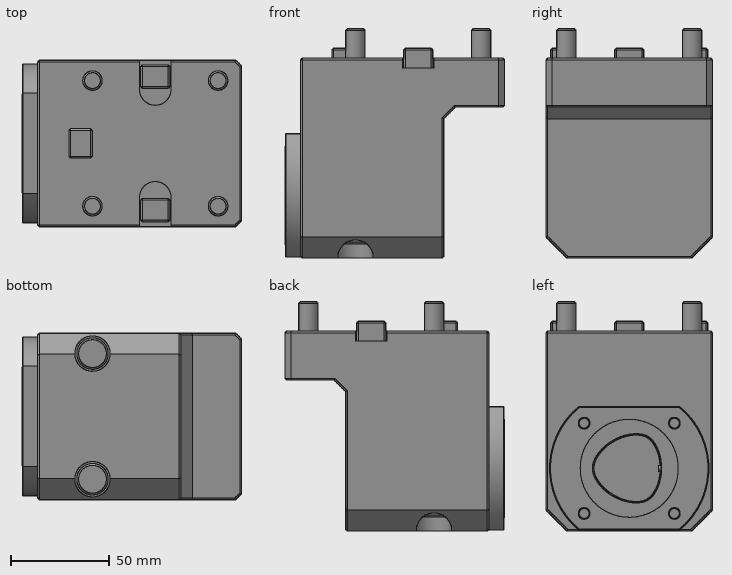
import cadquery as cq
import math


overall_length = 112.0
overall_height = 117
width = 85.0
front_x = -60.0
boss_projection = 8.0
end_x = overall_length + front_x - boss_projection
leg_back_x = 13.0
body_height = 102.0
overhang_thickness = 25.0
step_bevel = 6.0
bottom_bevel = 10.8
end_bevel = 3.0
edge_break = 0.9

bolt_pitch = 64.0
bolt_diameter = 10.0
bolt_projection = overall_height - body_height
bolt_chamfer = 0.9
counterbore_diameter = 18.0
counterbore_top = 17.3
bolt_head_diameter = 16.0
bolt_head_bottom = 7.4

key_length = 15.0
key_width = 12.0
key_projection = 5.0
key_chamfer = 0.9
front_key_x = -38.0
slot_width = 16.0
slot_reach = 23.0
slot_depth = 5.0
key_edge_gap = 2.5

spindle_z = 32.0
flange_diameter = 81.2
flange_height = 63.0
flange_chamfer = 0.5
centring_diameter = 50.0
centring_projection = 0.2
screw_circle_diameter = 65.0
screw_count = 4
first_screw_angle = 45
screw_recess_diameter = 6.0
screw_floor_diameter = 5.0
screw_recess_depth = 0.2

socket_mean_radius = 17.7
socket_eccentricity = 1.2
socket_depth = 30.0
socket_taper = 1 / 40
socket_curve_segments = 90
drive_pin_diameter = 3.0
drive_pin_projection = 1.6
drive_pin_anchor = 3.5

half_width = width / 2
bolt_offset = bolt_pitch / 2
flange_face_x = front_x - boss_projection + centring_projection
socket_face_x = front_x - boss_projection


def make_body():
    """Stepped housing with bevelled lower corners, bevelled rear corners and broken edges."""
    overhang_z = body_height - overhang_thickness
    body = (
        cq.Workplane("XZ")
        .moveTo(front_x, 0)
        .lineTo(leg_back_x, 0)
        .lineTo(leg_back_x, overhang_z - step_bevel)
        .lineTo(leg_back_x + step_bevel, overhang_z)
        .lineTo(end_x, overhang_z)
        .lineTo(end_x, body_height)
        .lineTo(front_x, body_height)
        .close()
        .extrude(half_width, both=True)
    )
    body = body.faces("<Z").edges("|X").chamfer(bottom_bevel)
    body = body.faces(">X").edges("|Z").chamfer(end_bevel)
    broken_edges = [edge for edge in body.edges().vals() if not stays_sharp(edge)]
    return body.newObject(broken_edges).chamfer(edge_break)


def stays_sharp(edge):
    """True for the long edges of the lower bevels, the uprights of the rear bevels and the step bevel."""
    middle = edge.Center()
    box = edge.BoundingBox()
    step_end_x = leg_back_x + step_bevel
    along_lower_bevel = box.xlen > step_bevel and middle.z < spindle_z
    along_rear_bevel = box.zlen > step_bevel and middle.x > step_end_x
    near_step = leg_back_x - edge_break < middle.x < step_end_x + edge_break and middle.z > spindle_z
    across_step = box.ylen > half_width and near_step
    return along_lower_bevel or along_rear_bevel or across_step


def make_flange():
    """Round flange with flat top and bottom, and a thin raised centring face."""
    plane = cq.Workplane("YZ", origin=(front_x, 0, spindle_z))
    thickness = front_x - flange_face_x
    disc = plane.circle(flange_diameter / 2).extrude(-thickness)
    flats = plane.rect(flange_diameter, flange_height).extrude(-thickness)
    flange = disc.intersect(flats).faces("<X").edges().chamfer(flange_chamfer)
    return flange.union(plane.circle(centring_diameter / 2).extrude(-boss_projection))


def make_screw_recesses():
    """Four shallow conical recesses on a circle in the flange face."""
    recess = cq.Workplane("YZ", origin=(flange_face_x, 0, spindle_z)).polarArray(
        screw_circle_diameter / 2, first_screw_angle, 360, screw_count
    )
    wall_run = (screw_recess_diameter - screw_floor_diameter) / 2
    draft = math.degrees(math.atan2(wall_run, screw_recess_depth))
    return recess.circle(screw_recess_diameter / 2).extrude(screw_recess_depth, taper=draft)


def make_socket():
    """Three-lobed constant-width socket, narrowing inward, with a lobe toward +Y."""

    def section(x, mean_radius):
        def point(t):
            a = 2 * math.pi * t
            radius = mean_radius + socket_eccentricity * math.cos(3 * a)
            swing = 3 * socket_eccentricity * math.sin(3 * a)
            y = radius * math.cos(a) + swing * math.sin(a)
            z = radius * math.sin(a) - swing * math.cos(a)
            return y, z

        plane = cq.Workplane("YZ", origin=(x, 0, spindle_z))
        return plane.parametricCurve(point, N=socket_curve_segments).wires().val()

    floor_radius = socket_mean_radius - socket_taper * socket_depth
    mouth = section(socket_face_x, socket_mean_radius)
    floor = section(socket_face_x + socket_depth, floor_radius)
    return cq.Workplane(cq.Solid.makeLoft([mouth, floor]))


def make_drive_pin():
    """Small pin standing out of the flat -Y wall of the socket, halfway to its floor."""
    wall_y = -(socket_mean_radius - socket_eccentricity)
    pin_x = socket_face_x + socket_depth / 2
    return (
        cq.Workplane("XZ", origin=(pin_x, wall_y + drive_pin_projection, spindle_z))
        .circle(drive_pin_diameter / 2)
        .extrude(drive_pin_projection + drive_pin_anchor)
    )


def make_bolt_end(x, y):
    """Chamfered bolt shank standing on the top face."""
    shank = cq.Workplane(origin=(x, y, body_height)).circle(bolt_diameter / 2).extrude(bolt_projection)
    return shank.faces(">Z").chamfer(bolt_chamfer)


def make_counterbore(y):
    """Clearance around a front bolt head, open through the lower bevel."""
    return cq.Workplane(origin=(-bolt_offset, y, 0)).circle(counterbore_diameter / 2).extrude(counterbore_top)


def make_bolt_head(y):
    """Bolt head filling the middle of its counterbore."""
    head = cq.Workplane(origin=(-bolt_offset, y, bolt_head_bottom)).circle(bolt_head_diameter / 2)
    head = head.extrude(counterbore_top - bolt_head_bottom)
    return head.faces("<Z").chamfer(bolt_chamfer)


def make_slot(side):
    """Round-ended slot running in from one long top edge."""
    radius = slot_width / 2
    end_y = half_width - slot_reach + radius
    return (
        cq.Workplane(origin=(0, 0, body_height - slot_depth))
        .moveTo(-radius, side * half_width)
        .lineTo(-radius, side * end_y)
        .threePointArc((0, side * (end_y - radius)), (radius, side * end_y))
        .lineTo(radius, side * half_width)
        .close()
        .extrude(slot_depth)
    )


def make_key(x, y, x_size, y_size, base_z):
    """Rectangular key with chamfered top and upright edges."""
    height = body_height + key_projection - base_z
    key = cq.Workplane(origin=(x, y, base_z)).rect(x_size, y_size).extrude(height)
    return key.edges("|Z or >Z").chamfer(key_chamfer)


result = make_body().union(make_flange())
result = result.cut(make_screw_recesses()).cut(make_socket()).union(make_drive_pin())

for side in (-1, 1):
    bolt_y = side * bolt_offset
    result = result.cut(make_counterbore(bolt_y)).union(make_bolt_head(bolt_y))
    for bolt_x in (-bolt_offset, bolt_offset):
        result = result.union(make_bolt_end(bolt_x, bolt_y))

    side_key_y = side * (half_width - key_edge_gap - key_width / 2)
    result = result.cut(make_slot(side))
    result = result.union(make_key(0, side_key_y, key_length, key_width, body_height - slot_depth))

result = result.union(make_key(front_key_x, 0, key_width, key_length, body_height))